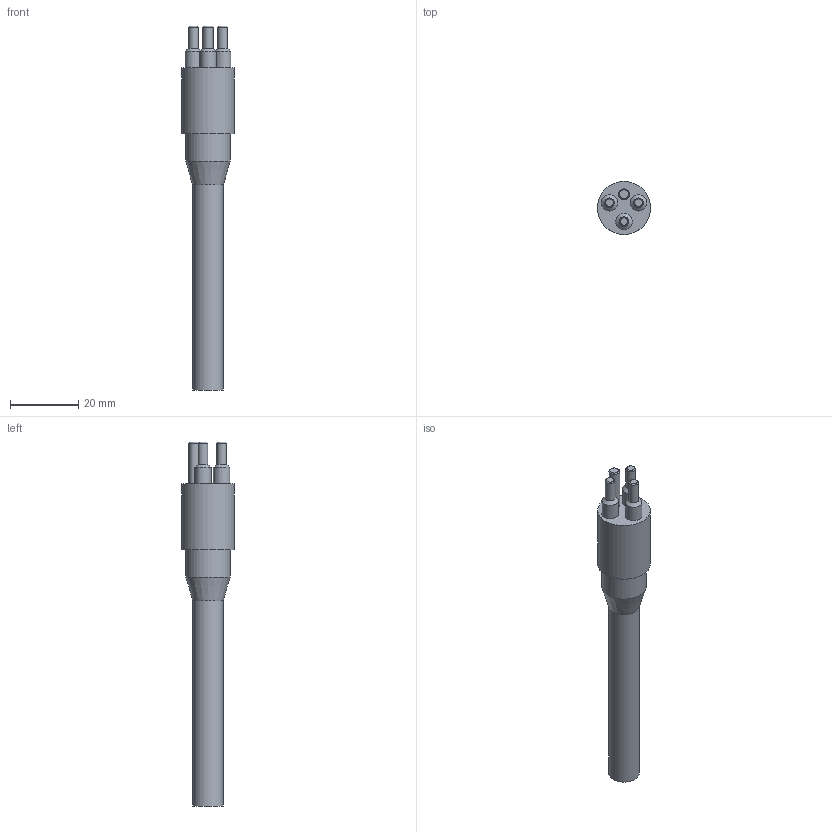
import cadquery as cq

cable_diameter = 9.0
cable_length = 60.0
neck_diameter = 13.0
taper_length = 7.0
neck_length = 8.0
body_diameter = 15.5
body_length = 19.25

contact_length = 12.25
contact_diameter = 2.8
sleeve_diameter = 4.8
sleeve_length = 4.8
shoulder_height = 0.9
tip_chamfer = 0.3
ground_diameter = 3.2

side_contact_x = 4.25
side_contact_y = 1.5
axis_contact_offset = 4.0
contact_places = [
    (side_contact_x, side_contact_y),
    (0, -axis_contact_offset),
    (-side_contact_x, side_contact_y),
]
ground_place = (0, axis_contact_offset)

taper_top = cable_length + taper_length
neck_top = taper_top + neck_length
face_height = neck_top + body_length


def make_body():
    """Cable, taper, neck and plug body as one revolved profile."""
    return (
        cq.Workplane("XZ")
        .lineTo(cable_diameter / 2, 0)
        .lineTo(cable_diameter / 2, cable_length)
        .lineTo(neck_diameter / 2, taper_top)
        .lineTo(neck_diameter / 2, neck_top)
        .lineTo(body_diameter / 2, neck_top)
        .lineTo(body_diameter / 2, face_height)
        .lineTo(0, face_height)
        .close()
        .revolve(360, (0, 0), (0, 1))
    )


def make_pin(place, diameter):
    """Round pin rising from the end face of the body, with a chamfered tip."""
    return (
        cq.Workplane("XY", origin=(*place, face_height))
        .circle(diameter / 2)
        .extrude(contact_length)
        .faces(">Z")
        .chamfer(tip_chamfer)
    )


def make_sleeve(place):
    """Sleeve around the foot of a contact, with a conical shoulder running in to the pin."""
    shoulder_top = sleeve_length + shoulder_height
    return (
        cq.Workplane("XZ", origin=(*place, face_height))
        .lineTo(sleeve_diameter / 2, 0)
        .lineTo(sleeve_diameter / 2, sleeve_length)
        .lineTo(contact_diameter / 2, shoulder_top)
        .lineTo(0, shoulder_top)
        .close()
        .revolve(360, (0, 0), (0, 1))
    )


result = make_body().union(make_pin(ground_place, ground_diameter))
for contact_place in contact_places:
    result = result.union(make_sleeve(contact_place))
    result = result.union(make_pin(contact_place, contact_diameter))